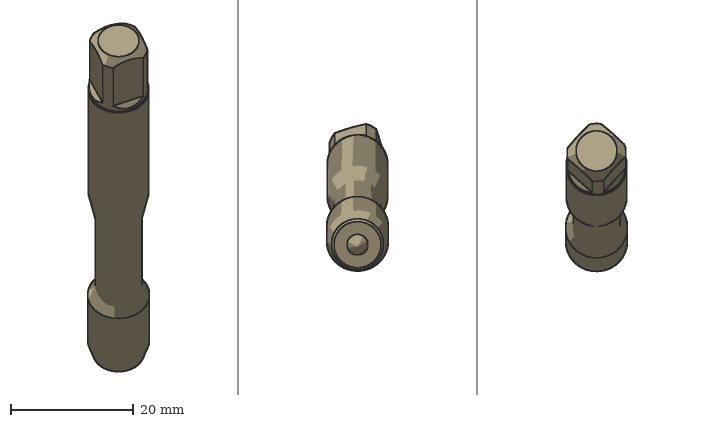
import cadquery as cq
import math

TOTAL_LENGTH = 81.65
NOSE_Z = 1.7
CHAMFER_LEAD_Z = 5.1
HEAD_TOP_Z = 16.65
NECK_TOP_Z = 36.7
SHANK_BOTTOM_Z = 43.2
SHANK_TOP_Z = 69.2
FLATS_BOTTOM_Z = 70.7

HEAD_DIAMETER = 10.1
LEAD_DIAMETER = 8.5
NOSE_DIAMETER = 7.7
NECK_DIAMETER = 7.7
SHANK_DIAMETER = 10.0
DRIVE_DIAMETER = 9.6
DRIVE_TOP_DIAMETER = 6.7

NOSE_CHAMFER_HEIGHT = 0.3
TIP_HALF_ANGLE = 45.0
COLLAR_HALF_ANGLE = 30.0
NECK_FILLET = 1.5
ACROSS_FLATS = 8.0
DRIVE_CHAMFER_HEIGHT = 1.2


def revolve_profile(profile):
    """Turn a closed (radius, z) outline about the Z axis."""
    return profile.close().revolve(360, (0, 0, 0), (0, 1, 0))


def make_cutting_head():
    """Plain cutting land with a tapered lead, an end chamfer and a pointed tip."""
    tip_radius = NOSE_Z * math.tan(math.radians(TIP_HALF_ANGLE))
    profile = (
        cq.Workplane("XZ")
        .moveTo(0, 0)
        .lineTo(tip_radius, NOSE_Z)
        .lineTo(NOSE_DIAMETER / 2, NOSE_Z)
        .lineTo(LEAD_DIAMETER / 2, NOSE_Z + NOSE_CHAMFER_HEIGHT)
        .lineTo(HEAD_DIAMETER / 2, CHAMFER_LEAD_Z)
        .lineTo(HEAD_DIAMETER / 2, HEAD_TOP_Z)
        .lineTo(0, HEAD_TOP_Z)
    )
    return revolve_profile(profile)


def make_turned_shank():
    """Collar, filleted neck, taper, cylindrical shank and round drive end."""
    neck_radius = NECK_DIAMETER / 2
    shank_radius = SHANK_DIAMETER / 2
    drive_radius = DRIVE_DIAMETER / 2
    collar_radius = HEAD_DIAMETER / 2
    collar_height = (collar_radius - neck_radius) / math.tan(math.radians(COLLAR_HALF_ANGLE))
    collar_top_z = HEAD_TOP_Z + collar_height
    profile = (
        cq.Workplane("XZ")
        .moveTo(0, HEAD_TOP_Z)
        .lineTo(collar_radius, HEAD_TOP_Z)
        .lineTo(neck_radius, collar_top_z)
        .lineTo(neck_radius, NECK_TOP_Z)
        .lineTo(shank_radius, SHANK_BOTTOM_Z)
        .lineTo(shank_radius, SHANK_TOP_Z)
        .lineTo(drive_radius, SHANK_TOP_Z + shank_radius - drive_radius)
        .lineTo(drive_radius, TOTAL_LENGTH - DRIVE_CHAMFER_HEIGHT)
        .lineTo(DRIVE_TOP_DIAMETER / 2, TOTAL_LENGTH)
        .lineTo(0, TOTAL_LENGTH)
    )
    neck_ends = cq.selectors.BoxSelector(
        (-neck_radius * 2, -neck_radius * 2, collar_top_z - NECK_FILLET),
        (neck_radius * 2, neck_radius * 2, NECK_TOP_Z + NECK_FILLET),
    )
    return revolve_profile(profile).edges("%CIRCLE").edges(neck_ends).fillet(NECK_FILLET)


def make_flat_cutter():
    """Material outside one driving flat, with a 45 degree run-out at its foot."""
    flat_distance = ACROSS_FLATS / 2
    depth = SHANK_DIAMETER - flat_distance
    return (
        cq.Workplane("XZ")
        .moveTo(flat_distance, FLATS_BOTTOM_Z)
        .lineTo(flat_distance + depth, FLATS_BOTTOM_Z - depth)
        .lineTo(flat_distance + depth, TOTAL_LENGTH)
        .lineTo(flat_distance, TOTAL_LENGTH)
        .close()
        .extrude(SHANK_DIAMETER / 2, both=True)
    )


def make_shank():
    """Turned shank with a square drive made of four flats."""
    shank = make_turned_shank()
    for angle in (0, 90, 180, 270):
        shank = shank.cut(make_flat_cutter().rotate((0, 0, 0), (0, 0, 1), angle))
    return shank


cutting_head = make_cutting_head()
shank = make_shank()

result = cq.Compound.makeCompound([cutting_head.val(), shank.val()])